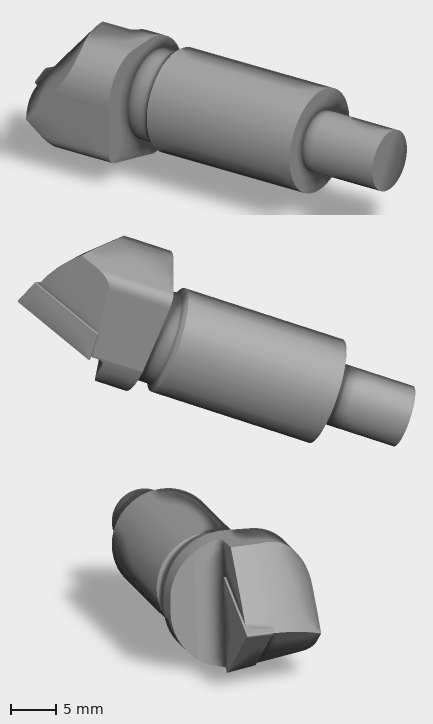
import math

import cadquery as cq


PIN_DIAMETER = 7.0
SHANK_DIAMETER = 12.0
NECK_DIAMETER = 10.5
NECK_LENGTH = 2.5
CHAMFER_LENGTH = 0.5
SHANK_END_X = 21.8
TOOL_END_X = 31.0

HEAD_FRONT_Y = -9.0
HEAD_BACK_Y = SHANK_DIAMETER / 2
HEAD_TOP_Z = 7.0
HEAD_BOTTOM_Z = -7.32
TOP_BACK_RADIUS = 7.0
BOTTOM_BACK_RADIUS = 6.0
TOP_FRONT_RADIUS = 5.0
BOTTOM_FRONT_RADIUS = 1.5
UNDERSIDE_ANGLE = 14.0
HEAD_STOCK_LENGTH = 20.0

SEAT_FACE_Y = 0.2
GULLET_RADIUS = 0.8
GULLET_WALL_X = -3.5
GULLET_WALL_TILT = 7.0
GULLET_BEVEL_START_Y = 3.28
GULLET_BEVEL_ANGLE = 15.0
GULLET_OVERRUN = 1.0

NOSE_RADIUS = 15.2
NOSE_CREST_Y = 0.0
NOSE_BREAK_X = -11.67
NOSE_BREAK_Z = 1.36
UPPER_NOSE_ANGLE = 49.0
LOWER_NOSE_ANGLE = 52.0

INSERT_INSCRIBED_RADIUS = 3.175
INSERT_THICKNESS = 3.18
HALF_CORNER_ANGLE = 30.0
INSERT_CORNER_RADIUS = 0.2
INSERT_FACE_Y = 0.5
INSERT_CENTRE_X = -8.55
INSERT_CENTRE_Z = -1.85
CUTTING_EDGE_ANGLE = 37.0
CLEARANCE_ANGLE = 7.0

HEAD_SETBACK = 0.35
HEAD_CLEARANCE_ANGLE = 5.5

CUTTER_REACH = 40.0


def tan_deg(angle):
    return math.tan(math.radians(angle))


def cos_deg(angle):
    return math.cos(math.radians(angle))


def sin_deg(angle):
    return math.sin(math.radians(angle))


def make_shank():
    """Neck, chamfered shank and end pin, turned about the X axis."""
    chamfer_end_x = NECK_LENGTH + CHAMFER_LENGTH
    return (
        cq.Workplane("XY")
        .moveTo(0, 0)
        .lineTo(0, NECK_DIAMETER / 2)
        .lineTo(NECK_LENGTH, NECK_DIAMETER / 2)
        .lineTo(chamfer_end_x, SHANK_DIAMETER / 2)
        .lineTo(SHANK_END_X, SHANK_DIAMETER / 2)
        .lineTo(SHANK_END_X, PIN_DIAMETER / 2)
        .lineTo(TOOL_END_X, PIN_DIAMETER / 2)
        .lineTo(TOOL_END_X, 0)
        .close()
        .revolve(360, (0, 0, 0), (1, 0, 0))
    )


def make_head_stock():
    """Head cross-section drawn in the YZ plane and extended toward -X."""
    top_back_y = HEAD_BACK_Y - TOP_BACK_RADIUS
    bottom_back_y = HEAD_BACK_Y - BOTTOM_BACK_RADIUS
    underside_rise = (bottom_back_y - HEAD_FRONT_Y) * tan_deg(UNDERSIDE_ANGLE)
    stock = (
        cq.Workplane("YZ")
        .moveTo(HEAD_FRONT_Y, HEAD_BOTTOM_Z + underside_rise)
        .lineTo(HEAD_FRONT_Y, HEAD_TOP_Z - TOP_FRONT_RADIUS)
        .radiusArc((HEAD_FRONT_Y + TOP_FRONT_RADIUS, HEAD_TOP_Z), TOP_FRONT_RADIUS)
        .lineTo(top_back_y, HEAD_TOP_Z)
        .radiusArc((HEAD_BACK_Y, HEAD_TOP_Z - TOP_BACK_RADIUS), TOP_BACK_RADIUS)
        .lineTo(HEAD_BACK_Y, HEAD_BOTTOM_Z + BOTTOM_BACK_RADIUS)
        .radiusArc((bottom_back_y, HEAD_BOTTOM_Z), BOTTOM_BACK_RADIUS)
        .close()
        .extrude(-HEAD_STOCK_LENGTH)
    )
    front_bottom_corner = (-HEAD_STOCK_LENGTH / 2, HEAD_FRONT_Y, HEAD_BOTTOM_Z + underside_rise)
    front_bottom_edge = cq.selectors.NearestToPointSelector(front_bottom_corner)
    return stock.edges(front_bottom_edge).fillet(BOTTOM_FRONT_RADIUS)


def make_gullet():
    """Cutter for the open space behind the seat face, along a wall leaning toward +X at the top."""
    wall_direction = cq.Vector(sin_deg(GULLET_WALL_TILT), 0, cos_deg(GULLET_WALL_TILT))
    beyond_y = HEAD_BACK_Y + GULLET_OVERRUN
    bevel_shift = (beyond_y - GULLET_BEVEL_START_Y) * tan_deg(GULLET_BEVEL_ANGLE)
    outline = (
        cq.Workplane("XY")
        .moveTo(GULLET_WALL_X - CUTTER_REACH, SEAT_FACE_Y)
        .lineTo(GULLET_WALL_X - GULLET_RADIUS, SEAT_FACE_Y)
        .radiusArc((GULLET_WALL_X, SEAT_FACE_Y + GULLET_RADIUS), -GULLET_RADIUS)
        .lineTo(GULLET_WALL_X, GULLET_BEVEL_START_Y)
        .lineTo(GULLET_WALL_X + bevel_shift, beyond_y)
        .lineTo(GULLET_WALL_X - CUTTER_REACH, beyond_y)
        .close()
        .wire()
        .val()
        .moved(cq.Location(wall_direction * -CUTTER_REACH))
    )
    return cq.Workplane(cq.Solid.extrudeLinear(outline, [], wall_direction * (2 * CUTTER_REACH)))


def make_nose_cutter(angle):
    """Space outside a cylinder whose rulings climb at the given angle through the nose break."""
    ruling = cq.Vector(cos_deg(angle), 0, sin_deg(angle))
    outward = cq.Vector(-sin_deg(angle), 0, cos_deg(angle))
    crest = cq.Vector(NOSE_BREAK_X, NOSE_CREST_Y, NOSE_BREAK_Z)
    start = cq.Plane(crest - ruling * CUTTER_REACH, xDir=outward, normal=ruling)
    block = cq.Workplane(start).rect(2 * NOSE_RADIUS, 2 * NOSE_RADIUS).extrude(2 * CUTTER_REACH)
    cylinder = cq.Workplane(start).center(-NOSE_RADIUS, 0).circle(NOSE_RADIUS).extrude(2 * CUTTER_REACH)
    return block.cut(cylinder)


def make_clearance_cutter():
    """Space in front of the seat face below a plane along the cutting edge, rising toward -Y."""
    below = cq.Vector(-sin_deg(CUTTING_EDGE_ANGLE), 0, -cos_deg(CUTTING_EDGE_ANGLE))
    along_edge = cq.Vector(cos_deg(CUTTING_EDGE_ANGLE), 0, -sin_deg(CUTTING_EDGE_ANGLE))
    normal = below * cos_deg(HEAD_CLEARANCE_ANGLE) + cq.Vector(0, -sin_deg(HEAD_CLEARANCE_ANGLE), 0)
    insert_centre = cq.Vector(INSERT_CENTRE_X, INSERT_FACE_Y, INSERT_CENTRE_Z)
    point = insert_centre + below * (INSERT_INSCRIBED_RADIUS - HEAD_SETBACK)
    plane = cq.Plane(point, xDir=along_edge, normal=normal)
    cutter = cq.Workplane(plane).rect(CUTTER_REACH, CUTTER_REACH).extrude(CUTTER_REACH)
    front_side = (
        cq.Workplane("XZ", origin=(0, SEAT_FACE_Y, 0))
        .rect(2 * CUTTER_REACH, 2 * CUTTER_REACH)
        .extrude(CUTTER_REACH)
    )
    return cutter.intersect(front_side)


def make_insert():
    """Triangle with its cutting edge at the lower left, tapering toward -Y by the clearance angle."""
    circumscribed_diameter = 4 * INSERT_INSCRIBED_RADIUS
    tip_direction = 180 + HALF_CORNER_ANGLE - CUTTING_EDGE_ANGLE
    return (
        cq.Workplane("XZ", origin=(INSERT_CENTRE_X, INSERT_FACE_Y, INSERT_CENTRE_Z))
        .transformed(rotate=(0, 0, tip_direction))
        .polygon(3, circumscribed_diameter)
        .extrude(INSERT_THICKNESS, taper=CLEARANCE_ANGLE)
        .edges("not #Y")
        .fillet(INSERT_CORNER_RADIUS)
    )


insert = make_insert()
holder = (
    make_head_stock()
    .cut(make_gullet())
    .cut(make_nose_cutter(UPPER_NOSE_ANGLE))
    .cut(make_nose_cutter(LOWER_NOSE_ANGLE))
    .cut(make_clearance_cutter())
    .union(make_shank())
    .cut(insert)
)

result = cq.Compound.makeCompound([holder.solids().val(), insert.solids().val()])